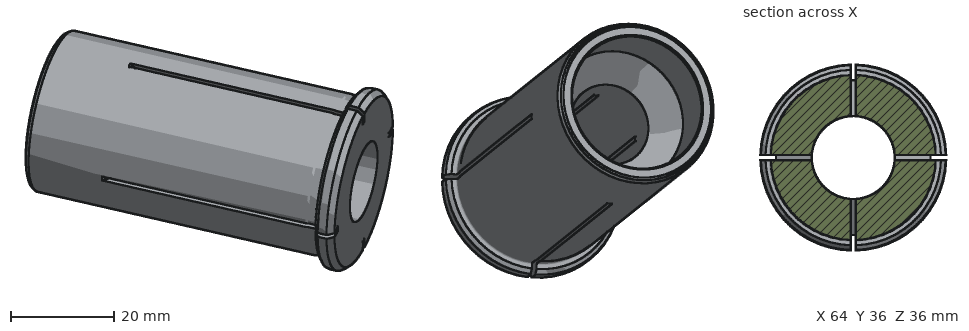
import cadquery as cq
import math

length = 64
body_radius = 16
flange_radius = 18.0
bore_radius = 8.0

nose_face_radius = 15.1
nose_bevel_x = 0.25
nose_bevel_radius = 15.55
nose_length = 0.95

groove_start = 57.8
groove_floor_start = 58.25
groove_floor_end = 59.65
groove_radius = 15.9

shoulder_x = 60.1
groove_blend = shoulder_x - groove_floor_end
shoulder_radius = 16.95
front_bevel_x = 60.85
front_edge_radius = 17.85
rim_start = 61.3
rim_end = 62.7
rear_bevel_x = 63.0
rear_edge_radius = 17.85
rear_face_radius = 16.95

counterbore_radius = 13.25
counterbore_depth = 11.0
mouth_chamfer = 0.25
taper_half_angle = math.radians(45)
taper_length = (counterbore_radius - bore_radius) / math.tan(taper_half_angle)

slot_count = 4
slot_width = 0.95
slot_start = 16
front_ramp_angle = math.radians(45)
rear_ramp_angle = math.radians(55)
rear_ramp_radius = 15.0
cutter_margin = 3.2


def make_outer_body():
    """Solid outer shape of the sleeve and flange."""
    blend_middle = groove_blend * math.sqrt(0.5)
    profile = (
        cq.Workplane("XY")
        .lineTo(0, nose_face_radius)
        .lineTo(nose_bevel_x, nose_bevel_radius)
        .lineTo(nose_length, body_radius)
        .lineTo(groove_start, body_radius)
        .lineTo(groove_floor_start, groove_radius)
        .lineTo(groove_floor_end, groove_radius)
        .threePointArc(
            (groove_floor_end + blend_middle, groove_radius + groove_blend - blend_middle),
            (shoulder_x, groove_radius + groove_blend),
        )
        .lineTo(shoulder_x, shoulder_radius)
        .lineTo(front_bevel_x, front_edge_radius)
        .lineTo(rim_start, flange_radius)
        .lineTo(rim_end, flange_radius)
        .lineTo(rear_bevel_x, rear_edge_radius)
        .lineTo(length, rear_face_radius)
        .lineTo(length, 0)
        .close()
    )
    return profile.revolve(360, (0, 0, 0), (1, 0, 0))


def make_bore():
    """Counterbore, taper and through bore as one cutting solid."""
    profile = (
        cq.Workplane("XY")
        .lineTo(0, counterbore_radius + mouth_chamfer)
        .lineTo(mouth_chamfer, counterbore_radius)
        .lineTo(counterbore_depth, counterbore_radius)
        .lineTo(counterbore_depth + taper_length, bore_radius)
        .lineTo(length, bore_radius)
        .lineTo(length, 0)
        .close()
    )
    return profile.revolve(360, (0, 0, 0), (1, 0, 0))


def make_slot():
    """One slot with a floor rising from the bore towards both ends."""
    outer_radius = flange_radius + cutter_margin
    front_slope = math.tan(front_ramp_angle)
    rear_slope = math.tan(rear_ramp_angle)
    tip_radius = bore_radius / 2
    front_tip_x = slot_start + (body_radius - tip_radius) / front_slope
    rear_tip_x = length - (rear_ramp_radius - tip_radius) / rear_slope
    profile = (
        cq.Workplane("XZ")
        .moveTo(slot_start, outer_radius)
        .lineTo(slot_start, body_radius)
        .lineTo(front_tip_x, tip_radius)
        .lineTo(rear_tip_x, tip_radius)
        .lineTo(length, rear_ramp_radius)
        .lineTo(length, outer_radius)
        .close()
    )
    return profile.extrude(slot_width / 2, both=True)


result = make_outer_body().cut(make_bore())
slot = make_slot()
for index in range(slot_count):
    angle = index * 360 / slot_count
    result = result.cut(slot.rotate((0, 0, 0), (1, 0, 0), angle))